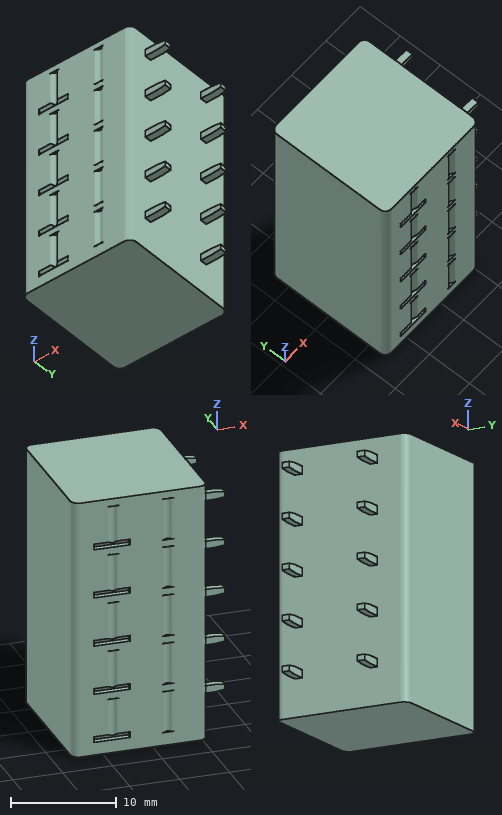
import cadquery as cq
import math

body_width = 13.55
body_depth = 14.4
body_height = 26.4
corner_radius = 0.82

pole_count = 5
first_to_last_pole = 20.0
pole_pitch = first_to_last_pole / (pole_count - 1)

groove_width = 1.08
groove_height = 4.25
groove_top_gap = 0.8
groove_centers_x = (4.07, 9.55)
groove_arc_radius = 0.35

slot_left = 2.15
slot_width = 3.62
slot_mouth_height = 0.58
slot_depth = 0.63

pin_length = 2.45
pin_tip_length = 1.0
pin_thickness = 0.8
pin_height = 0.8
pin_tip_height = 0.55
top_pin_drop = 2.2
pin_rows_y = (2.53, 10.75)
top_pin_z = body_height - top_pin_drop

top_groove_floor_z = body_height - groove_top_gap - groove_height


def make_body():
    block = cq.Workplane("XY").box(body_width, body_depth, body_height, centered=False)
    return block.edges("|Z").fillet(corner_radius)


def make_groove(center_x, floor_z):
    """Cutter whose section is a concave bottom arc flanked by two convex lip arcs."""
    lip_width = groove_width / 4
    turn_angle = math.asin(lip_width / groove_arc_radius)
    lip_depth = groove_arc_radius * (1 - math.cos(turn_angle))
    lip_mid_x = groove_width / 2 - groove_arc_radius * math.sin(turn_angle / 2)
    lip_mid_depth = groove_arc_radius * (1 - math.cos(turn_angle / 2))
    return (
        cq.Workplane("XY", origin=(center_x, 0, floor_z))
        .moveTo(-groove_width / 2, 0)
        .threePointArc((-lip_mid_x, lip_mid_depth), (-lip_width, lip_depth))
        .threePointArc((0, 2 * lip_depth), (lip_width, lip_depth))
        .threePointArc((lip_mid_x, lip_mid_depth), (groove_width / 2, 0))
        .close()
        .extrude(groove_height)
    )


def make_slot(floor_z):
    """Wedge cutter, tallest at the front face and running out to an edge inside."""
    return (
        cq.Workplane("YZ")
        .workplane(offset=slot_left)
        .moveTo(0, floor_z)
        .lineTo(slot_depth, floor_z)
        .lineTo(0, floor_z + slot_mouth_height)
        .close()
        .extrude(slot_width)
    )


def make_pin(center_y, center_z):
    tip_start_x = body_width + pin_length - pin_tip_length
    end_x = body_width + pin_length
    half_height = pin_height / 2
    half_tip = pin_tip_height / 2
    return (
        cq.Workplane("XZ", origin=(0, center_y, center_z))
        .moveTo(body_width, -half_height)
        .lineTo(tip_start_x, -half_height)
        .lineTo(end_x, -half_tip)
        .lineTo(end_x, half_tip)
        .lineTo(tip_start_x, half_height)
        .lineTo(body_width, half_height)
        .close()
        .extrude(pin_thickness / 2, both=True)
    )


result = make_body()
for pole in range(pole_count):
    drop = pole * pole_pitch
    floor_z = top_groove_floor_z - drop
    for center_x in groove_centers_x:
        result = result.cut(make_groove(center_x, floor_z))
    result = result.cut(make_slot(floor_z))
    for center_y in pin_rows_y:
        result = result.union(make_pin(center_y, top_pin_z - drop))